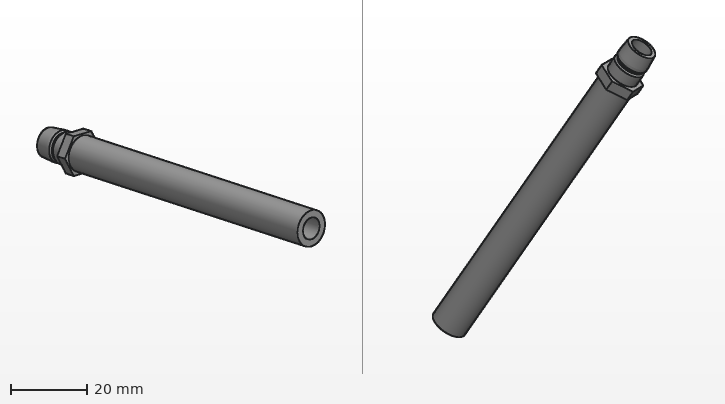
import cadquery as cq
import math

total_length = 100.0
body_diameter = 10.0
bore_diameter = 6.0

hex_start = 10.0
hex_thickness = 3.0
hex_across_flats = 11.0
hex_across_corners = hex_across_flats / math.cos(math.pi / 6)

neck_diameter = 9.0
tip_diameter = 8.3
taper_length = 4.0

groove_start = 5.0
groove_end = 6.5
groove_floor_diameter = 8.0
groove_floor_start = 5.5
groove_floor_end = 6.0

hex_end = hex_start + hex_thickness
tip_radius = tip_diameter / 2
neck_radius = neck_diameter / 2
body_radius = body_diameter / 2
groove_floor_radius = groove_floor_diameter / 2


def turned_body():
    """Solid of revolution about X: tapered nose, groove, neck and long tube."""
    profile = [
        (0, 0),
        (0, tip_radius),
        (taper_length, neck_radius),
        (groove_start, neck_radius),
        (groove_floor_start, groove_floor_radius),
        (groove_floor_end, groove_floor_radius),
        (groove_end, neck_radius),
        (hex_end, neck_radius),
        (hex_end, body_radius),
        (total_length, body_radius),
        (total_length, 0),
    ]
    return cq.Workplane("XZ").polyline(profile).close().revolve(360, (0, 0, 0), (1, 0, 0))


def hex_collar():
    """Hexagonal wrench collar."""
    return cq.Workplane("YZ", origin=(hex_start, 0, 0)).polygon(6, hex_across_corners).extrude(hex_thickness)


def through_bore():
    """Cylinder that clears the bore from end to end."""
    return cq.Workplane("YZ").circle(bore_diameter / 2).extrude(total_length)


result = turned_body().union(hex_collar()).cut(through_bore())